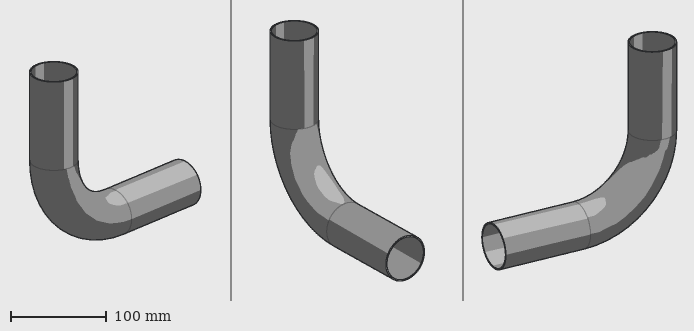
import cadquery as cq
import math

OUTER_DIAMETER = 50.8
INNER_DIAMETER = 47.6
BEND_RADIUS = 88.9
LEG_LENGTH = 101.6

LEG_END = BEND_RADIUS + LEG_LENGTH
BEND_MIDDLE = BEND_RADIUS * (1 - math.sqrt(0.5))


def centreline():
    """Path in the YZ plane: down the upright leg, round the elbow, out along +Y."""
    return (
        cq.Workplane("YZ")
        .moveTo(0, LEG_END)
        .lineTo(0, BEND_RADIUS)
        .threePointArc((BEND_MIDDLE, BEND_MIDDLE), (BEND_RADIUS, 0))
        .lineTo(LEG_END, 0)
    )


def bent_tube():
    """Sweep the annular tube section along the centreline."""
    section = (
        cq.Workplane("XY", origin=(0, 0, LEG_END))
        .circle(OUTER_DIAMETER / 2)
        .circle(INNER_DIAMETER / 2)
    )
    return section.sweep(centreline())


result = bent_tube()